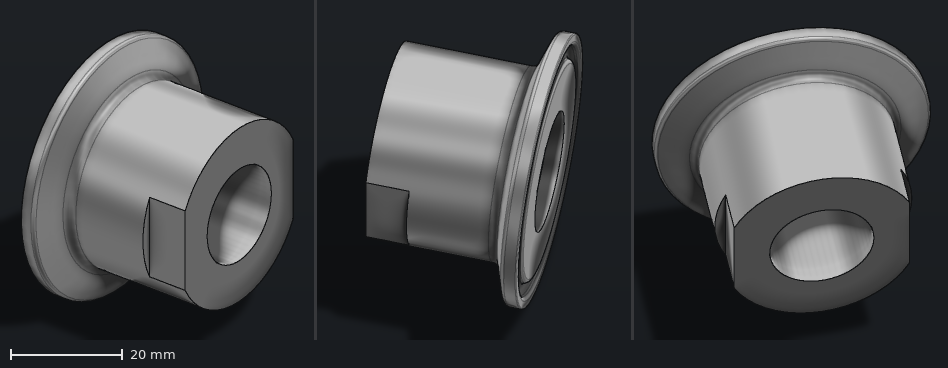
import cadquery as cq
import math

LENGTH = 30.0
FLANGE_RADIUS = 50.5 / 2
BODY_RADIUS = 36.0 / 2
BORE_RADIUS = 19.0 / 2

RIM_THICKNESS = 2.85
CONE_ANGLE = math.radians(20)
RIM_FRONT_FILLET = 0.2
RIM_BACK_FILLET = 0.8
NECK_FILLET = 2.0

COUNTERSINK_RADIUS = 22.2 / 2
COUNTERSINK_ANGLE = math.radians(30)

GROOVE_RADIUS = 43.5 / 2
GROOVE_HALF_WIDTH = 2.0
GROOVE_WALL_ANGLE = math.radians(67)
GROOVE_BOTTOM_ROUND = 1.2
GROOVE_LIP_ROUND = 0.8

ACROSS_FLATS = 32.0
FLAT_LENGTH = 8.0


def corner_arc(corner, into, out, radius):
    """Start, middle and end of the round that replaces a corner between two unit directions."""
    turn = math.acos(into[0] * out[0] + into[1] * out[1])
    setback = radius * math.tan(turn / 2)
    start = (corner[0] - into[0] * setback, corner[1] - into[1] * setback)
    end = (corner[0] + out[0] * setback, corner[1] + out[1] * setback)
    bisector = (out[0] - into[0], out[1] - into[1])
    bisector_length = math.hypot(*bisector)
    gap = radius / math.cos(turn / 2) - radius
    middle = (
        corner[0] + bisector[0] / bisector_length * gap,
        corner[1] + bisector[1] / bisector_length * gap,
    )
    return start, middle, end


def revolve_about_x(profile):
    """Turn a closed (x, radius) profile into a solid of revolution."""
    return profile.close().revolve(360, (0, 0, 0), (1, 0, 0))


def make_turned_body():
    """Flange, cone, neck and cylindrical body with the countersunk bore."""
    along_axis = (1, 0)
    outward = (0, 1)
    down_cone = (math.sin(CONE_ANGLE), -math.cos(CONE_ANGLE))
    cone_length = (FLANGE_RADIUS - BODY_RADIUS) * math.tan(CONE_ANGLE)
    rim_corner = (RIM_THICKNESS, FLANGE_RADIUS)
    neck_corner = (RIM_THICKNESS + cone_length, BODY_RADIUS)
    front_corner = (0, FLANGE_RADIUS)
    front_start, front_middle, front_end = corner_arc(front_corner, outward, along_axis, RIM_FRONT_FILLET)
    rim_start, rim_middle, rim_end = corner_arc(rim_corner, along_axis, down_cone, RIM_BACK_FILLET)
    neck_start, neck_middle, neck_end = corner_arc(neck_corner, down_cone, along_axis, NECK_FILLET)
    countersink_depth = (COUNTERSINK_RADIUS - BORE_RADIUS) / math.tan(COUNTERSINK_ANGLE)

    profile = (
        cq.Workplane("XZ")
        .moveTo(0, COUNTERSINK_RADIUS)
        .lineTo(*front_start)
        .threePointArc(front_middle, front_end)
        .lineTo(*rim_start)
        .threePointArc(rim_middle, rim_end)
        .lineTo(*neck_start)
        .threePointArc(neck_middle, neck_end)
        .lineTo(LENGTH, BODY_RADIUS)
        .lineTo(LENGTH, BORE_RADIUS)
        .lineTo(countersink_depth, BORE_RADIUS)
    )
    return revolve_about_x(profile)


def make_groove():
    """Ring-shaped cutter for the gasket groove: round bottom, sloped walls, rounded lips."""
    wall_sin = math.sin(GROOVE_WALL_ANGLE)
    wall_cos = math.cos(GROOVE_WALL_ANGLE)
    lip_width = GROOVE_LIP_ROUND * wall_sin
    lip_depth = GROOVE_LIP_ROUND * (1 - wall_cos)
    bottom_half_width = GROOVE_BOTTOM_ROUND * wall_sin
    wall_half_width = GROOVE_HALF_WIDTH - lip_width
    wall_depth = (wall_half_width - bottom_half_width) * math.tan(GROOVE_WALL_ANGLE)
    bottom_start_depth = lip_depth + wall_depth
    groove_depth = bottom_start_depth + GROOVE_BOTTOM_ROUND * (1 - wall_cos)

    lip_mid_width = GROOVE_HALF_WIDTH - GROOVE_LIP_ROUND * math.sin(GROOVE_WALL_ANGLE / 2)
    lip_mid_depth = GROOVE_LIP_ROUND * (1 - math.cos(GROOVE_WALL_ANGLE / 2))

    profile = (
        cq.Workplane("XZ")
        .moveTo(0, GROOVE_RADIUS - GROOVE_HALF_WIDTH)
        .threePointArc(
            (lip_mid_depth, GROOVE_RADIUS - lip_mid_width),
            (lip_depth, GROOVE_RADIUS - wall_half_width),
        )
        .lineTo(bottom_start_depth, GROOVE_RADIUS - bottom_half_width)
        .threePointArc(
            (groove_depth, GROOVE_RADIUS),
            (bottom_start_depth, GROOVE_RADIUS + bottom_half_width),
        )
        .lineTo(lip_depth, GROOVE_RADIUS + wall_half_width)
        .threePointArc(
            (lip_mid_depth, GROOVE_RADIUS + lip_mid_width),
            (0, GROOVE_RADIUS + GROOVE_HALF_WIDTH),
        )
    )
    return revolve_about_x(profile)


def make_flat_cutter(side):
    """Block that removes the material beyond one wrench flat; side is -1 or +1 along Y."""
    block_width = 2 * BODY_RADIUS
    block_center = (LENGTH - FLAT_LENGTH / 2, side * (ACROSS_FLATS + block_width) / 2, 0)
    return cq.Workplane("XY").box(FLAT_LENGTH, block_width, block_width).translate(block_center)


result = make_turned_body().cut(make_groove())
for flat_side in (-1, 1):
    result = result.cut(make_flat_cutter(flat_side))